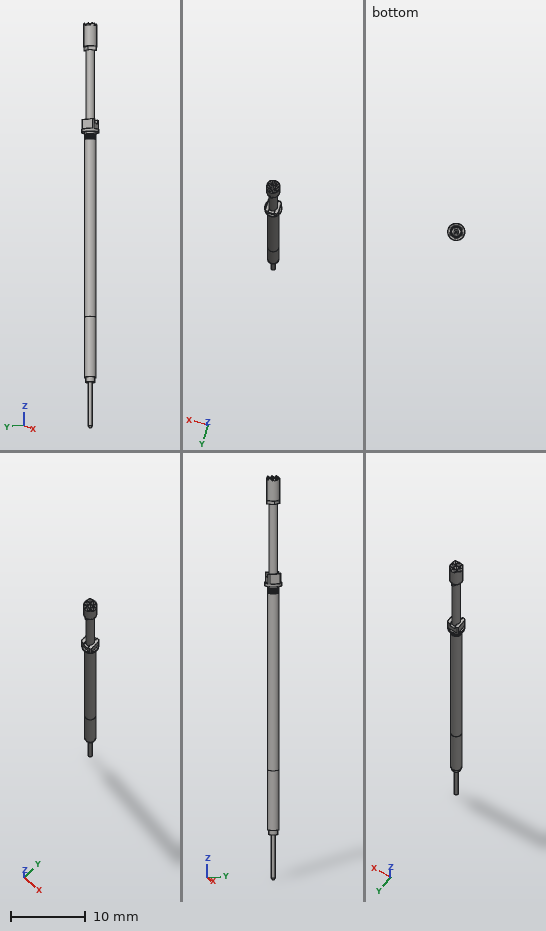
import cadquery as cq

top_z = 14.9
head_bottom_z = 11.7
key_bottom_z = 11.2
collar_top_z = 1.7
flange_top_z = 0.4
barrel_step_z = -25.2
barrel_end_z = -33.4
neck_end_z = -34.05
tip_z = -40.3

head_diameter = 1.8
plunger_diameter = 1.2
collar_width = 1.8
flange_diameter = 2.31
barrel_diameter = 1.6
lower_barrel_diameter = 1.58
neck_diameter = 1.25
pin_diameter = 0.6
pin_tip_diameter = 0.2
pin_tip_length = 0.3

slot_width = 0.8
key_x_width = 1.3
key_y_width = 2.2
slot_depth = 0.5

crown_pitch = 0.6
crown_depth = 0.4
crown_groove_count = 4

ring_count = 4
ring_pitch = 0.18
ring_depth = 0.05
first_ring_z = -0.27


def cylinder(diameter, bottom_z, upper_z):
    height = upper_z - bottom_z
    return cq.Workplane("XY").workplane(offset=bottom_z).circle(diameter / 2).extrude(height)


def slab(x_width, y_width, bottom_z, upper_z):
    height = upper_z - bottom_z
    return cq.Workplane("XY").workplane(offset=bottom_z).rect(x_width, y_width).extrude(height)


def crown_groove(offset):
    """V groove along Y whose bottom runs at X = offset."""
    half_width = crown_pitch / 2
    return (
        cq.Workplane("XZ")
        .moveTo(offset, top_z - crown_depth)
        .lineTo(offset + half_width, top_z)
        .lineTo(offset - half_width, top_z)
        .close()
        .extrude(head_diameter, both=True)
    )


def make_head():
    head = cylinder(head_diameter, head_bottom_z, top_z)
    for i in range(crown_groove_count):
        offset = (i - (crown_groove_count - 1) / 2) * crown_pitch
        groove = crown_groove(offset)
        head = head.cut(groove)
        head = head.cut(groove.rotate((0, 0, 0), (0, 0, 1), 90))
    return head


def make_key():
    """Diamond prism with its long corners rounded to the head diameter."""
    key_diamond = (
        cq.Workplane("XY")
        .workplane(offset=key_bottom_z)
        .polyline(
            [
                (key_x_width / 2, 0),
                (0, key_y_width / 2),
                (-key_x_width / 2, 0),
                (0, -key_y_width / 2),
            ]
        )
        .close()
        .extrude(head_bottom_z - key_bottom_z)
    )
    return cylinder(head_diameter, key_bottom_z, head_bottom_z).intersect(key_diamond)


def make_collar():
    """Square collar with its corners rounded to the flange diameter, slotted along Y."""
    collar = cylinder(flange_diameter, flange_top_z, collar_top_z)
    collar = collar.intersect(slab(collar_width, collar_width, flange_top_z, collar_top_z))
    return collar.cut(slab(slot_width, flange_diameter, collar_top_z - slot_depth, collar_top_z))


def make_barrel():
    """Flange, ringed press-fit zone, barrel, neck and tail pin as one turned profile."""
    barrel_radius = barrel_diameter / 2
    profile = (
        cq.Workplane("XZ")
        .moveTo(0, flange_top_z)
        .lineTo(flange_diameter / 2, flange_top_z)
        .lineTo(flange_diameter / 2, 0)
        .lineTo(barrel_radius, 0)
        .lineTo(barrel_radius, first_ring_z)
    )
    for i in range(ring_count):
        ring_top_z = first_ring_z - i * ring_pitch
        profile = profile.lineTo(barrel_radius - ring_depth, ring_top_z - ring_pitch / 2)
        profile = profile.lineTo(barrel_radius, ring_top_z - ring_pitch)
    profile = (
        profile.lineTo(barrel_radius, barrel_step_z)
        .lineTo(lower_barrel_diameter / 2, barrel_step_z)
        .lineTo(lower_barrel_diameter / 2, barrel_end_z)
        .lineTo(neck_diameter / 2, barrel_end_z)
        .lineTo(neck_diameter / 2, neck_end_z)
        .lineTo(pin_diameter / 2, neck_end_z)
        .lineTo(pin_diameter / 2, tip_z + pin_tip_length)
        .lineTo(pin_tip_diameter / 2, tip_z)
        .lineTo(0, tip_z)
        .close()
    )
    return profile.revolve(360, (0, 0, 0), (0, 1, 0))


plunger = cylinder(plunger_diameter, flange_top_z, key_bottom_z)
result = make_barrel().union(make_collar()).union(plunger).union(make_key()).union(make_head())